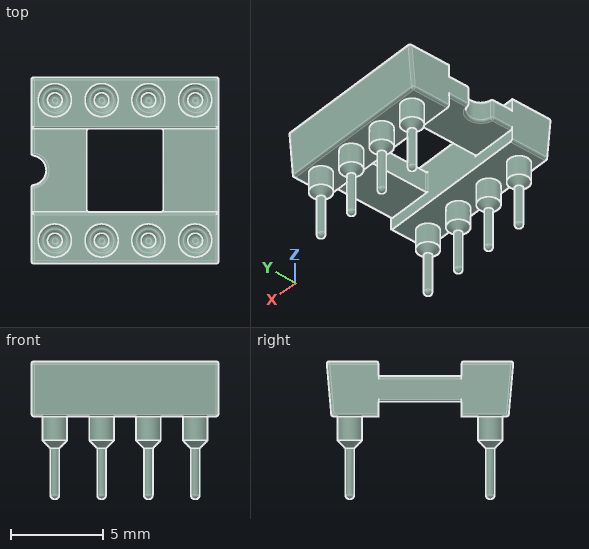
import cadquery as cq
import math


PIN_PITCH = 2.54
PINS_PER_ROW = 4
ROW_SPACING = 7.62

BODY_LENGTH = 10.17
BODY_HEIGHT = 3.0
BODY_TOP_WIDTH = 10.16
RAIL_GAP = 4.5
RAIL_DRAFT_DEG = 5.0
EDGE_RADIUS = 0.15

WEB_THICKNESS = 1.4
WEB_BOTTOM = (BODY_HEIGHT - WEB_THICKNESS) / 2
WEB_OVERLAP = 0.5
WINDOW_LENGTH = 4.15
WINDOW_CORNER_RADIUS = 0.1
NOTCH_RADIUS = 0.8

COLLAR_DIAMETER = 1.35
COLLAR_LENGTH = 1.3
PIN_DIAMETER = 0.5
PIN_REACH = 4.5

MOUTH_DIAMETER = 1.8
BORE_DIAMETER = 0.8
BORE_DEPTH = 3.0
BLEND_RADIUS = (MOUTH_DIAMETER - BORE_DIAMETER) / 4


def make_rail():
    """Rail on the +Y side; its outer face leans inward toward the underside."""
    inner = RAIL_GAP / 2
    outer_top = BODY_TOP_WIDTH / 2
    outer_bottom = outer_top - BODY_HEIGHT * math.tan(math.radians(RAIL_DRAFT_DEG))
    rail = (
        cq.Workplane("YZ")
        .polyline([(inner, 0), (outer_bottom, 0), (outer_top, BODY_HEIGHT), (inner, BODY_HEIGHT)])
        .close()
        .extrude(BODY_LENGTH / 2, both=True)
    )
    sharp_edges = rail.faces("<Y").edges("not >Z").vals()
    rounded_edges = [
        edge for edge in rail.edges().vals()
        if not any(edge.isSame(sharp) for sharp in sharp_edges)
    ]
    return rail.newObject(rounded_edges).fillet(EDGE_RADIUS)


def make_web():
    """Thin plate with a rounded index notch at -X and a central window."""
    plate_width = RAIL_GAP + 2 * WEB_OVERLAP
    plate = cq.Workplane("XY").box(
        BODY_LENGTH, plate_width, WEB_THICKNESS, centered=(True, True, False)
    )
    notch = (
        cq.Workplane("XY")
        .center(-BODY_LENGTH / 2, 0)
        .circle(NOTCH_RADIUS)
        .extrude(WEB_THICKNESS)
    )
    plate = plate.cut(notch)

    end_edges = plate.faces("<X or >X").edges("|Y")
    notch_rims = plate.edges("%CIRCLE")
    notch_corners = plate.faces("<X").edges("|Z").edges("not (<Y or >Y)")
    plate = end_edges.add(notch_rims).add(notch_corners).fillet(EDGE_RADIUS)

    window = (
        cq.Workplane("XY")
        .rect(WINDOW_LENGTH, RAIL_GAP)
        .extrude(WEB_THICKNESS)
        .edges("|Z")
        .fillet(WINDOW_CORNER_RADIUS)
    )
    return plate.cut(window).translate((0, 0, WEB_BOTTOM))


def make_contact():
    """Turned contact below the rail: collar, 45-degree shoulder and round-ended pin."""
    collar_radius = COLLAR_DIAMETER / 2
    pin_radius = PIN_DIAMETER / 2
    shoulder_top = -COLLAR_LENGTH
    shoulder_bottom = shoulder_top - (collar_radius - pin_radius)
    root = BODY_HEIGHT / 2
    return (
        cq.Workplane("XZ")
        .moveTo(0, root)
        .lineTo(collar_radius, root)
        .lineTo(collar_radius, shoulder_top)
        .lineTo(pin_radius, shoulder_bottom)
        .lineTo(pin_radius, pin_radius - PIN_REACH)
        .radiusArc((0, -PIN_REACH), pin_radius)
        .close()
        .revolve(360, (0, 0), (0, 1))
    )


def make_socket():
    """Void of one socket: S-curved mouth into a straight bore with a rounded floor."""
    r = BLEND_RADIUS
    mouth_radius = MOUTH_DIAMETER / 2
    bore_radius = BORE_DIAMETER / 2
    floor = BODY_HEIGHT - BORE_DEPTH
    return (
        cq.Workplane("XZ")
        .moveTo(0, BODY_HEIGHT)
        .lineTo(mouth_radius, BODY_HEIGHT)
        .radiusArc((mouth_radius - r, BODY_HEIGHT - r), r)
        .radiusArc((bore_radius, BODY_HEIGHT - 2 * r), -r)
        .lineTo(bore_radius, floor + r)
        .radiusArc((bore_radius - r, floor), r)
        .lineTo(0, floor)
        .close()
        .revolve(360, (0, 0), (0, 1))
    )


rail = make_rail()
result = make_web().union(rail).union(rail.mirror("XZ"))

contact_places = cq.Workplane("XY").rarray(PIN_PITCH, ROW_SPACING, PINS_PER_ROW, 2).vals()
for place in contact_places:
    result = result.union(make_contact().translate(place.toTuple()))
    result = result.cut(make_socket().translate(place.toTuple()))